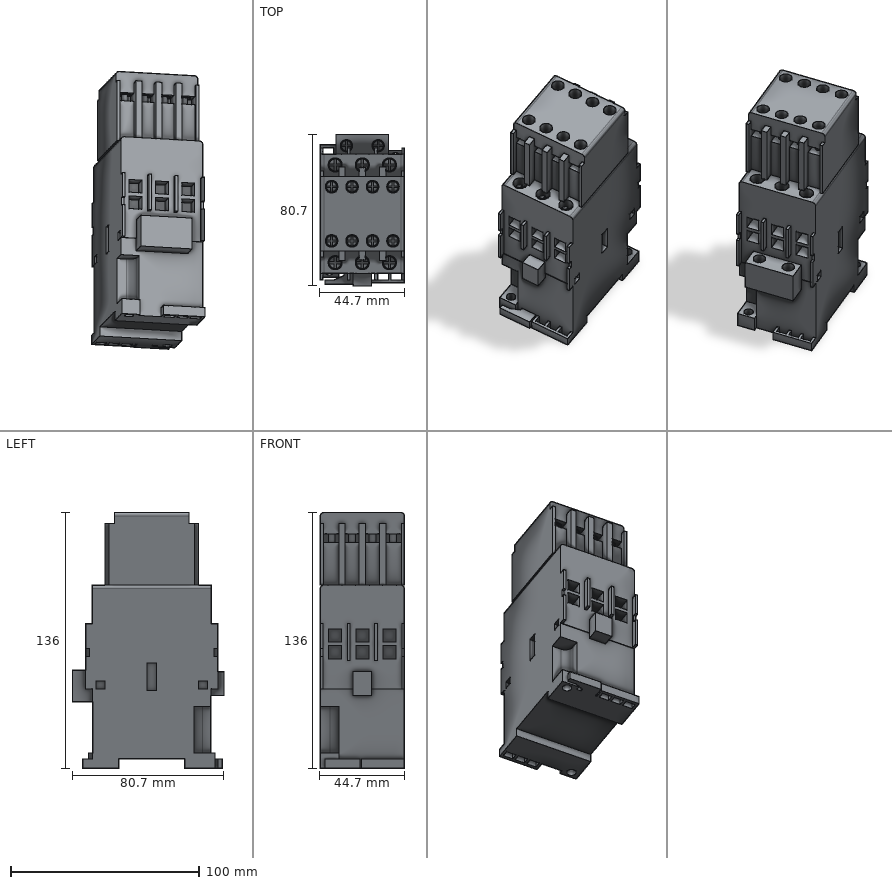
import cadquery as cq


WIDTH = 44.7
HALF_WIDTH = WIDTH / 2
TOTAL_HEIGHT = 136.0
BODY_TOP = 97.4
UPPER_HALF_DEPTH = 31.7
LOWER_HALF_DEPTH = 31.4
STEP_Z = 42.2
TOP_EDGE_RADIUS = 1.9

FLANGE_HALF_DEPTH = 35.1
FLANGE_TOP = 76.8
FLANGE_THICKNESS = 1.4
FLANGE_NOTCH_Z = (59.5, 63.6)
FLANGE_NOTCH_DEPTH = 1.9
DIVIDER_THICKNESS = 1.5
DIVIDER_X = 7.2
DIVIDER_BOTTOM = 57.4

POLE_PITCH = 14.4
OPENING_SIZE = 7.0
OPENING_DEPTH = 8.2
OPENING_BOTTOMS = (58.2, 67.2)

SIDE_RECESS_DEPTH = 3.3
SIDE_SLOT_WIDTH = 5.3
SIDE_SLOT_Z = (41.3, 56.0)
SIDE_SQUARE_WIDTH = 4.8
SIDE_SQUARE_Y = 27.2
SIDE_SQUARE_TOP = 46.4

BUTTON_WIDTH = 9.8
BUTTON_FRONT = 38.5
BUTTON_Z = (38.6, 51.4)
COIL_WIDTH = 28.0
COIL_BACK = 42.2
COIL_Z = (35.4, 52.2)

BASE_HEIGHT = 5.0
CHANNEL_HALF_WIDTH = 17.4
LUG_WIDTH = 9.9
LUG_HALF_DEPTH = 33.7
LUG_TOP = 8.2
LUG_HOLE_DIAMETER = 4.9
LUG_HOLE_X = 17.5
LUG_HOLE_Y = 30.0
CORNER_TOP = 32.8
CORNER_HALF_DEPTH = 22.5
CORNER_RADIUS = 4.6
BAR_HALF_DEPTH = 36.7
BAR_THICKNESS = 1.6
BAR_RIB_THICKNESS = 1.5
BAR_RIB_PITCH = 7.1
BAR_RIB_COUNT = 4
CLIP_LEFT = -19.9
CLIP_RIGHT = -1.1
CLIP_NECK_X = -9.8
CLIP_TIP_END_X = -15.0
CLIP_FRONT = -37.5
CLIP_TIP_BACK = -35.1
CLIP_NECK_Y = -32.8

AUX_CORE_HALF_DEPTH = 19.9
AUX_WALL_HALF_DEPTH = 22.8
AUX_WALL_THICKNESS = 1.6
AUX_WALL_TOP = 130.2
AUX_RIB_WIDTH = 3.3
AUX_RIB_X = 10.9
AUX_OUTER_RIB_HALF_DEPTH = 24.9
AUX_CENTRE_RIB_HALF_DEPTH = 24.5
AUX_POCKET_Z = (120.1, 124.6)
AUX_POCKET_DEPTH = 8.2

HEAD_HEIGHT = 3.3
AUX_HOLE_DIAMETER = 6.7
AUX_HEAD_DIAMETER = 5.6
AUX_SHANK_DIAMETER = 3.5
AUX_SCREW_PITCH = 10.9
AUX_SCREW_Y = 14.4
MAIN_HOLE_DIAMETER = 7.5
MAIN_HEAD_DIAMETER = 6.4
MAIN_SCREW_Y = 26.0
COIL_HOLE_DIAMETER = 6.5
COIL_HEAD_DIAMETER = 5.5
COIL_SCREW_X = 8.5
COIL_SCREW_Y = 36.2
BLIND_HOLE_DEPTH = 8.2
DRIVE_DEPTH = 1.4
DRIVE_WIDTH = 1.0
MAIN_DRIVE_WIDTH = 1.2

SIDES = (-1, 1)


def block(x_ends, y_ends, z_ends):
    """Box between two values on each axis, given in any order."""
    spans = [sorted(ends) for ends in (x_ends, y_ends, z_ends)]
    size = [high - low for low, high in spans]
    corner = cq.Vector(*[low for low, high in spans])
    return cq.Workplane("XY").box(*size, centered=False).translate(corner)


def centred(width, middle=0.0):
    """End values of a span of this width about its middle."""
    return (middle - width / 2, middle + width / 2)


def disc(diameter, x, y, bottom, top):
    """Vertical cylinder."""
    return cq.Workplane("XY", origin=(x, y, bottom)).circle(diameter / 2).extrude(top - bottom)


def half_turn(shape):
    """Copy of a shape turned half a turn about the vertical axis."""
    return shape.rotate((0, 0, 0), (0, 0, 1), 180)


def rounded_block(half_depth, bottom, top):
    """Full-width block with its two long top edges rounded."""
    solid = block(centred(WIDTH), (-half_depth, half_depth), (bottom, top))
    return solid.edges("|Y and >Z").fillet(TOP_EDGE_RADIUS)


def screw_head(diameter, drive_width, x, y, bottom):
    """Round screw head with a cross drive cut right across its top."""
    top = bottom + HEAD_HEIGHT
    drive_z = (top - DRIVE_DEPTH, top)
    head = disc(diameter, x, y, bottom, top)
    head = head.cut(block(centred(diameter, x), centred(drive_width, y), drive_z))
    return head.cut(block(centred(drive_width, x), centred(diameter, y), drive_z))


def add_blind_screw(part, hole_diameter, head_diameter, drive_width, x, y, surface):
    """Sink a round hole below a top surface and stand a screw head on its floor."""
    floor = surface - BLIND_HOLE_DEPTH
    part = part.cut(disc(hole_diameter, x, y, floor, surface))
    return part.union(screw_head(head_diameter, drive_width, x, y, floor))


def housing():
    """Main body; its lower part is slightly shallower than the upper part."""
    lower = block(centred(WIDTH), (-LOWER_HALF_DEPTH, LOWER_HALF_DEPTH), (0, STEP_Z))
    return rounded_block(UPPER_HALF_DEPTH, STEP_Z, BODY_TOP).union(lower)


def add_flanges_and_dividers(part):
    """Notched flanges at the sides and plain dividers between the poles, front and back."""
    for y_side in SIDES:
        face = y_side * LOWER_HALF_DEPTH
        tip = y_side * FLANGE_HALF_DEPTH
        notch_floor = tip - y_side * FLANGE_NOTCH_DEPTH
        for x_side in SIDES:
            outer = x_side * HALF_WIDTH
            flange_x = (outer, outer - x_side * FLANGE_THICKNESS)
            flange = block(flange_x, (face, tip), (STEP_Z, FLANGE_TOP))
            flange = flange.cut(block(flange_x, (notch_floor, tip), FLANGE_NOTCH_Z))
            divider_x = centred(DIVIDER_THICKNESS, x_side * DIVIDER_X)
            divider = block(divider_x, (face, tip), (DIVIDER_BOTTOM, FLANGE_TOP))
            part = part.union(flange).union(divider)
    return part


def cut_wire_openings(part):
    """Two rows of square openings, one column per pole, front and back."""
    for y_side in SIDES:
        face = y_side * UPPER_HALF_DEPTH
        opening_y = (face, face - y_side * OPENING_DEPTH)
        for column in (-1, 0, 1):
            opening_x = centred(OPENING_SIZE, column * POLE_PITCH)
            for bottom in OPENING_BOTTOMS:
                part = part.cut(block(opening_x, opening_y, (bottom, bottom + OPENING_SIZE)))
    return part


def cut_side_recesses(part):
    """A tall central slot and two small squares in each side face."""
    for x_side in SIDES:
        outer = x_side * HALF_WIDTH
        recess_x = (outer, outer - x_side * SIDE_RECESS_DEPTH)
        part = part.cut(block(recess_x, centred(SIDE_SLOT_WIDTH), SIDE_SLOT_Z))
        for y_side in SIDES:
            square_y = centred(SIDE_SQUARE_WIDTH, y_side * SIDE_SQUARE_Y)
            part = part.cut(block(recess_x, square_y, (STEP_Z, SIDE_SQUARE_TOP)))
    return part


def add_mounting_corners(part):
    """Recess two opposite corners and leave a drilled mounting lug below each."""
    lug_x = (-HALF_WIDTH, LUG_WIDTH - HALF_WIDTH)
    lug = block(lug_x, (-LUG_HALF_DEPTH, -CORNER_HALF_DEPTH), (0, LUG_TOP))
    recess = block(lug_x, (-LUG_HALF_DEPTH, -CORNER_HALF_DEPTH), (LUG_TOP, CORNER_TOP))
    recess = recess.edges("|Z and >X and >Y").fillet(CORNER_RADIUS)
    hole = disc(LUG_HOLE_DIAMETER, -LUG_HOLE_X, -LUG_HOLE_Y, 0, LUG_TOP)
    part = part.cut(recess).cut(half_turn(recess))
    part = part.union(lug).union(half_turn(lug))
    return part.cut(hole).cut(half_turn(hole))


def edge_bar():
    """Bar along half of the front base edge, tied to the body by evenly spaced ribs."""
    bar_y = (-BAR_HALF_DEPTH, BAR_THICKNESS - BAR_HALF_DEPTH)
    rib_y = (-BAR_HALF_DEPTH, -LOWER_HALF_DEPTH)
    length = (BAR_RIB_COUNT - 1) * BAR_RIB_PITCH + BAR_RIB_THICKNESS
    bar = block((HALF_WIDTH - length, HALF_WIDTH), bar_y, (0, BASE_HEIGHT))
    for index in range(BAR_RIB_COUNT):
        rib_right = HALF_WIDTH - index * BAR_RIB_PITCH
        bar = bar.union(block((rib_right - BAR_RIB_THICKNESS, rib_right), rib_y, (0, BASE_HEIGHT)))
    return bar


def release_clip():
    """Flat clip with a slanted neck in front of the mounting lug."""
    outline = [
        (CLIP_LEFT, CLIP_FRONT),
        (CLIP_RIGHT, CLIP_FRONT),
        (CLIP_RIGHT, -LOWER_HALF_DEPTH),
        (CLIP_NECK_X, -LOWER_HALF_DEPTH),
        (CLIP_NECK_X, CLIP_NECK_Y),
        (CLIP_TIP_END_X, CLIP_TIP_BACK),
        (CLIP_LEFT, CLIP_TIP_BACK),
    ]
    return cq.Workplane("XY").polyline(outline).close().extrude(BASE_HEIGHT)


def add_base(part):
    """Rail channel through the underside, edge bars front and back, and the clip."""
    channel_y = (-CHANNEL_HALF_WIDTH, CHANNEL_HALF_WIDTH)
    part = part.cut(block(centred(WIDTH), channel_y, (0, BASE_HEIGHT)))
    bar = edge_bar()
    return part.union(bar).union(half_turn(bar)).union(release_clip())


def add_button_and_coil_block(part):
    """Button on the front face and terminal block on the back face."""
    button = block(centred(BUTTON_WIDTH), (-BUTTON_FRONT, -LOWER_HALF_DEPTH), BUTTON_Z)
    coil_block = block(centred(COIL_WIDTH), (LOWER_HALF_DEPTH, COIL_BACK), COIL_Z)
    return part.union(button).union(coil_block)


def auxiliary_block():
    """Block with side walls and ribs that bound four terminal bays, front and back."""
    solid = rounded_block(AUX_CORE_HALF_DEPTH, BODY_TOP, TOTAL_HEIGHT)
    rib_z = (BODY_TOP, AUX_WALL_TOP)
    for x_side in SIDES:
        outer = x_side * HALF_WIDTH
        wall_x = (outer, outer - x_side * AUX_WALL_THICKNESS)
        solid = solid.union(block(wall_x, centred(2 * AUX_WALL_HALF_DEPTH), rib_z))
        rib_x = centred(AUX_RIB_WIDTH, x_side * AUX_RIB_X)
        solid = solid.union(block(rib_x, centred(2 * AUX_OUTER_RIB_HALF_DEPTH), rib_z))
    centre_rib_y = centred(2 * AUX_CENTRE_RIB_HALF_DEPTH)
    solid = solid.union(block(centred(AUX_RIB_WIDTH), centre_rib_y, rib_z))
    return cut_auxiliary_pockets(solid)


def cut_auxiliary_pockets(solid):
    """One wire pocket in each bay, reaching from wall to rib or from rib to rib."""
    wall_face = HALF_WIDTH - AUX_WALL_THICKNESS
    rib_half = AUX_RIB_WIDTH / 2
    bays = ((rib_half, AUX_RIB_X - rib_half), (AUX_RIB_X + rib_half, wall_face))
    for x_side in SIDES:
        for inner, outer in bays:
            for y_side in SIDES:
                face = y_side * AUX_CORE_HALF_DEPTH
                pocket_y = (face, face - y_side * AUX_POCKET_DEPTH)
                solid = solid.cut(block((x_side * inner, x_side * outer), pocket_y, AUX_POCKET_Z))
    return solid


def add_auxiliary_screws(part):
    """Screws standing on the pocket floors, with their heads in holes open to the top."""
    pocket_floor, pocket_ceiling = AUX_POCKET_Z
    for column in (-1.5, -0.5, 0.5, 1.5):
        x = column * AUX_SCREW_PITCH
        for y_side in SIDES:
            y = y_side * AUX_SCREW_Y
            part = part.cut(disc(AUX_HOLE_DIAMETER, x, y, pocket_ceiling, TOTAL_HEIGHT))
            part = part.union(disc(AUX_SHANK_DIAMETER, x, y, pocket_floor, pocket_ceiling))
            part = part.union(screw_head(AUX_HEAD_DIAMETER, DRIVE_WIDTH, x, y, pocket_ceiling))
    return part


def add_main_screws(part):
    """Pole terminal screws in the top of the housing."""
    for column in (-1, 0, 1):
        x = column * POLE_PITCH
        for y_side in SIDES:
            y = y_side * MAIN_SCREW_Y
            part = add_blind_screw(
                part, MAIN_HOLE_DIAMETER, MAIN_HEAD_DIAMETER, MAIN_DRIVE_WIDTH, x, y, BODY_TOP
            )
    return part


def add_coil_screws(part):
    """Terminal screws in the top of the coil block."""
    coil_top = COIL_Z[1]
    for x_side in SIDES:
        x = x_side * COIL_SCREW_X
        part = add_blind_screw(
            part, COIL_HOLE_DIAMETER, COIL_HEAD_DIAMETER, DRIVE_WIDTH, x, COIL_SCREW_Y, coil_top
        )
    return part


contactor = housing()
contactor = add_flanges_and_dividers(contactor)
contactor = cut_wire_openings(contactor)
contactor = cut_side_recesses(contactor)
contactor = add_mounting_corners(contactor)
contactor = add_base(contactor)
contactor = add_button_and_coil_block(contactor)
contactor = add_main_screws(contactor)
contactor = add_coil_screws(contactor)
contactor = contactor.union(auxiliary_block())
contactor = add_auxiliary_screws(contactor)

result = contactor